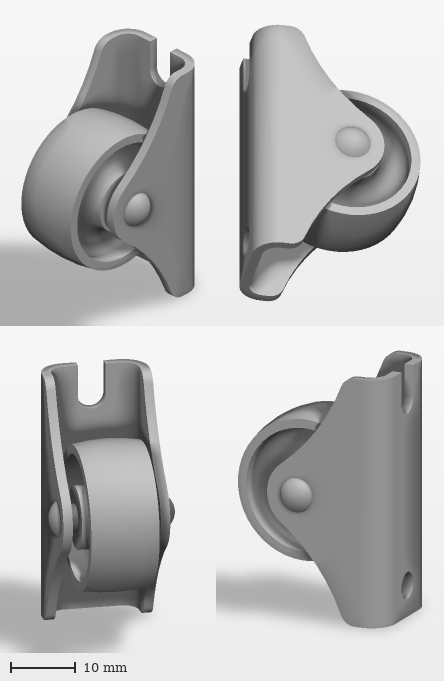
import cadquery as cq
import math

height = 40.0
bracket_width = 16.9
sheet = 1.5
bend_radius = 4.0
flange_depth = 20.0
ear_tip_radius = 6.0
ear_tip_half_height = 4.8
flange_corner_radius = 2.5
flange_corner_start = 5.05
flange_corner_angle = 66.0
flank_middle_depth = 11.3
flank_middle_height = 11.2

mount_diameter = 4.35
mount_offset = 14.95

axle_depth = 15.0
wheel_radius = 11.9
wheel_edge_radius = 11.4
rim_half_width = 5.4
rim_inner_radius = 9.95
rim_fillet = 1.5
hub_radius = 5.0
hub_half_width = 5.5
hub_fillet = 2.5
web_half_width = 1.6

axle_radius = 2.25
head_radius = 2.75
left_head_height = 1.25
right_head_height = 1.7

flange_x = bracket_width / 2
diagonal = math.sqrt(0.5)


def channel_section():
    """Bent sheet of full flange depth, extruded over the bracket height."""
    def u_block(half_width, back, radius):
        depth = flange_depth - back
        return (
            cq.Workplane("XY", origin=(0, -back - depth / 2, -height / 2))
            .rect(2 * half_width, depth)
            .extrude(height)
            .edges("|Z and >Y")
            .fillet(radius)
        )

    outside = u_block(flange_x, 0, bend_radius)
    inside = u_block(flange_x - sheet, sheet, bend_radius - sheet)
    return outside.cut(inside)


def flange_profile():
    """Side outline of the flanges, extruded across the bracket width."""
    sweep = math.radians(flange_corner_angle)
    half_sweep = sweep / 2
    corner_z = height / 2 - flange_corner_radius

    def corner_point(angle):
        depth = flange_corner_start + flange_corner_radius * math.sin(angle)
        return depth, corner_z + flange_corner_radius * math.cos(angle)

    def lower(point):
        return point[0], -point[1]

    def place(point):
        return -point[0], point[1]

    corner_start = corner_point(0)
    corner_middle = corner_point(half_sweep)
    corner_end = corner_point(sweep)
    flank_middle = (flank_middle_depth, flank_middle_height)
    tip_run = math.sqrt(ear_tip_radius**2 - ear_tip_half_height**2)
    tip_start = (flange_depth - ear_tip_radius + tip_run, ear_tip_half_height)

    return (
        cq.Workplane("YZ", origin=(-flange_x, 0, 0))
        .moveTo(0, height / 2)
        .lineTo(*place(corner_start))
        .threePointArc(place(corner_middle), place(corner_end))
        .threePointArc(place(flank_middle), place(tip_start))
        .threePointArc((-flange_depth, 0), place(lower(tip_start)))
        .threePointArc(place(lower(flank_middle)), place(lower(corner_end)))
        .threePointArc(place(lower(corner_middle)), place(lower(corner_start)))
        .lineTo(0, -height / 2)
        .close()
        .extrude(bracket_width)
    )


def back_cut(z):
    """Round hole through the back at height z."""
    return (
        cq.Workplane("XZ", origin=(0, 0, z))
        .circle(mount_diameter / 2)
        .extrude(sheet)
    )


def slot_cut():
    """Parallel part of the slot, open at the top edge."""
    length = height / 2 - mount_offset
    return (
        cq.Workplane("XZ", origin=(0, 0, mount_offset + length / 2))
        .rect(mount_diameter, length)
        .extrude(sheet)
    )


def make_bracket():
    bracket = channel_section().intersect(flange_profile())
    axle_hole = (
        cq.Workplane("YZ", origin=(-flange_x, -axle_depth, 0))
        .circle(axle_radius)
        .extrude(bracket_width)
    )
    return (
        bracket.cut(back_cut(mount_offset))
        .cut(slot_cut())
        .cut(back_cut(-mount_offset))
        .cut(axle_hole)
    )


def revolve_on_axle(profile):
    """Revolve a profile of (x, radius) points about the axle."""
    return profile.close().revolve(360, (0, 0, 0), (1, 0, 0)).translate((0, -axle_depth, 0))


def make_wheel():
    """Crowned wheel with a hub, a thin web and filleted recesses on both sides."""
    hub_end = web_half_width + hub_fillet
    rim_end = web_half_width + rim_fillet
    hub_mid = (hub_end - hub_fillet * diagonal, hub_radius + hub_fillet * (1 - diagonal))
    rim_mid = (rim_end - rim_fillet * diagonal, rim_inner_radius - rim_fillet * (1 - diagonal))
    profile = (
        cq.Workplane("XY")
        .moveTo(-hub_half_width, axle_radius)
        .lineTo(-hub_half_width, hub_radius)
        .lineTo(-hub_end, hub_radius)
        .threePointArc((-hub_mid[0], hub_mid[1]), (-web_half_width, hub_radius + hub_fillet))
        .lineTo(-web_half_width, rim_inner_radius - rim_fillet)
        .threePointArc((-rim_mid[0], rim_mid[1]), (-rim_end, rim_inner_radius))
        .lineTo(-rim_half_width, rim_inner_radius)
        .lineTo(-rim_half_width, wheel_edge_radius)
        .threePointArc((0, wheel_radius), (rim_half_width, wheel_edge_radius))
        .lineTo(rim_half_width, rim_inner_radius)
        .lineTo(rim_end, rim_inner_radius)
        .threePointArc(rim_mid, (web_half_width, rim_inner_radius - rim_fillet))
        .lineTo(web_half_width, hub_radius + hub_fillet)
        .threePointArc(hub_mid, (hub_end, hub_radius))
        .lineTo(hub_half_width, hub_radius)
        .lineTo(hub_half_width, axle_radius)
    )
    return revolve_on_axle(profile)


def dome_middle(dome_height):
    """Middle of a dome's arc: (distance beyond the flange, radius)."""
    sphere_radius = (head_radius**2 + dome_height**2) / (2 * dome_height)
    half_angle = math.asin(head_radius / sphere_radius) / 2
    beyond = dome_height - sphere_radius * (1 - math.cos(half_angle))
    return beyond, sphere_radius * math.sin(half_angle)


def make_axle():
    """Rivet with a domed head against the outside of each flange."""
    left_beyond, left_middle_radius = dome_middle(left_head_height)
    right_beyond, right_middle_radius = dome_middle(right_head_height)
    profile = (
        cq.Workplane("XY")
        .moveTo(-flange_x - left_head_height, 0)
        .threePointArc((-flange_x - left_beyond, left_middle_radius), (-flange_x, head_radius))
        .lineTo(-flange_x, axle_radius)
        .lineTo(flange_x, axle_radius)
        .lineTo(flange_x, head_radius)
        .threePointArc((flange_x + right_beyond, right_middle_radius), (flange_x + right_head_height, 0))
    )
    return revolve_on_axle(profile)


bracket = make_bracket()
wheel = make_wheel()
axle = make_axle()

result = cq.Compound.makeCompound([bracket.solids().val(), wheel.val(), axle.val()])